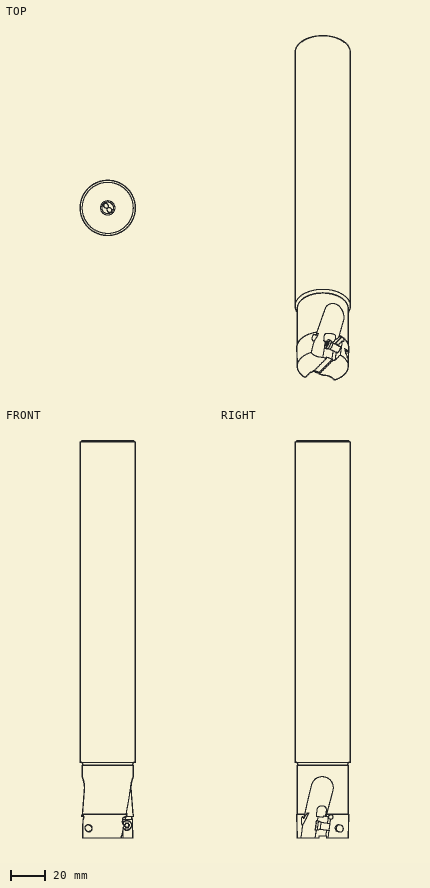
import cadquery as cq
import math


total_length = 227.51
shank_radius = 31.75 / 2
tooth_count = 2

shoulder_z = 43.4
neck_radius = 14.7
shoulder_fillet = 0.9
undercut_depth = 0.25
undercut_bottom_z = 41.5
undercut_slope_height = 0.5
head_top_z = 13.4
head_step_height = 0.3
head_top_radius = 15.0
head_bottom_radius = 14.65
back_chamfer_radial = 1.25
back_chamfer_height = 0.9

bore_diameter = 6.6
bore_mouth_diameter = 8.2
bore_bottom_z = 32.0
coolant_diameter = 2.5
coolant_outlet = cq.Vector(-9.3, 11.4, 10.0)
coolant_start = cq.Vector(0, 0, bore_bottom_z + coolant_diameter)

flute_radius = 6.4
flute_top = cq.Vector(-14.3, 0.3, 28.8)
flute_lean = 15.0
flute_deepening = 3.5

seat_tilt = 7.5
seat_y = -3.0
seat_inner_x = -7.2
seat_corner_chamfer = 1.4
seat_height = 12.2
seat_thickness = 9.0
relief_radius = 3.5
relief_x = -10.0
relief_depth = 6.4
relief_bottom = 11.5
relief_tip_height = 15.2
corner_relief_radius = 1.3
outside = 20.0

gash_width = 4.1
gash_depth = 1.2

screw_x = -11.0
head_face_y = 4.0
head_face_z = 7.4
screw_length = 12.0
thread_diameter = 4.0
screw_head_diameter = 5.4
screw_head_rim = 1.2
screw_head_cone = 1.6
head_clearance = 0.4
socket_core_diameter = 2.2
socket_lobe_diameter = 0.8
socket_depth = 1.4
lobe_count = 6

tilt = math.radians(seat_tilt)
screw_out = cq.Vector(0, math.cos(tilt), math.sin(tilt))
head_face = cq.Vector(screw_x, head_face_y, head_face_z)


def rod(start, direction, length, radius):
    return cq.Solid.makeCylinder(radius, length, start, direction)


def at_each_tooth(solid):
    step = 360 / tooth_count
    return [solid.rotate(cq.Vector(0, 0, 0), cq.Vector(0, 0, 1), i * step) for i in range(tooth_count)]


def turned_blank():
    chamfer_start = total_length - back_chamfer_height
    root_radius = neck_radius - undercut_depth
    fillet_mid = shoulder_fillet * (1 - math.sqrt(0.5))
    return (
        cq.Workplane("XZ")
        .lineTo(head_bottom_radius, 0)
        .lineTo(head_top_radius, head_top_z)
        .lineTo(neck_radius, head_top_z + head_step_height)
        .lineTo(neck_radius, undercut_bottom_z)
        .lineTo(root_radius, undercut_bottom_z + undercut_slope_height)
        .lineTo(root_radius, shoulder_z - shoulder_fillet)
        .threePointArc(
            (root_radius + fillet_mid, shoulder_z - fillet_mid),
            (root_radius + shoulder_fillet, shoulder_z),
        )
        .lineTo(shank_radius, shoulder_z)
        .lineTo(shank_radius, chamfer_start)
        .lineTo(shank_radius - back_chamfer_radial, total_length)
        .lineTo(0, total_length)
        .close()
        .revolve(360, (0, 0, 0), (0, 1, 0))
    )


def coolant_bore():
    mouth_depth = (bore_mouth_diameter - bore_diameter) / 2
    return (
        cq.Workplane("XZ")
        .moveTo(0, bore_bottom_z)
        .lineTo(bore_diameter / 2, bore_bottom_z)
        .lineTo(bore_diameter / 2, total_length - mouth_depth)
        .lineTo(bore_mouth_diameter / 2, total_length)
        .lineTo(0, total_length)
        .close()
        .revolve(360, (0, 0, 0), (0, 1, 0))
    )


def coolant_branch():
    path = coolant_outlet - coolant_start
    return rod(coolant_start, path, path.Length + coolant_diameter, coolant_diameter / 2)


def flute_cutter():
    down = cq.Vector(math.tan(math.radians(flute_deepening)), math.tan(math.radians(flute_lean)), -1)
    length = flute_top.z + outside
    ball = cq.Solid.makeSphere(flute_radius, flute_top, cq.Vector(0, 0, 1), -90, 90, 360)
    return rod(flute_top, down, length, flute_radius).fuse(ball)


def seat_cutter():
    pocket = (
        cq.Workplane("XY", origin=(0, 0, -outside))
        .moveTo(seat_inner_x - outside, 0)
        .lineTo(seat_inner_x - seat_corner_chamfer, 0)
        .lineTo(seat_inner_x, seat_corner_chamfer)
        .lineTo(seat_inner_x, seat_thickness)
        .lineTo(seat_inner_x - outside, seat_thickness)
        .close()
        .extrude(outside + seat_height)
        .val()
    )
    relief_base = cq.Vector(relief_x, relief_depth, relief_bottom)
    relief_tip = cq.Vector(relief_x, relief_depth, relief_tip_height)
    relief_length = relief_tip_height - relief_bottom
    relief = rod(relief_base, cq.Vector(0, 0, 1), relief_length, relief_radius)
    relief_ball = cq.Solid.makeSphere(relief_radius, relief_tip, cq.Vector(0, 0, 1), 0, 90, 360)
    corner = rod(
        cq.Vector(seat_inner_x - outside, 0, seat_height), cq.Vector(1, 0, 0), outside, corner_relief_radius
    )
    cutter = pocket.fuse(relief, relief_ball, corner)
    tilted = cutter.rotate(cq.Vector(0, 0, 0), cq.Vector(1, 0, 0), seat_tilt)
    return tilted.translate(cq.Vector(0, seat_y, 0))


def screw_hole():
    thread_hole = rod(head_face, screw_out * -1, screw_length + outside, thread_diameter / 2)
    head_length = screw_head_rim + screw_head_cone
    head_hole = rod(
        head_face - screw_out * head_length, screw_out, head_length, screw_head_diameter / 2 + head_clearance
    )
    return thread_hole.fuse(head_hole)


def end_gash():
    return cq.Workplane("XY").box(2 * outside, gash_width, gash_depth, centered=(True, True, False))


def build_holder():
    holder = turned_blank().cut(coolant_bore()).cut(end_gash())
    for cutter in (coolant_branch(), flute_cutter(), seat_cutter(), screw_hole()):
        for copy in at_each_tooth(cutter):
            holder = holder.cut(cq.Workplane(copy))
    return holder


def build_screw():
    frame = cq.Plane(origin=head_face.toTuple(), xDir=(1, 0, 0), normal=screw_out.toTuple())
    head_radius = screw_head_diameter / 2
    thread_radius = thread_diameter / 2
    side = cq.Plane(origin=frame.origin, xDir=frame.xDir, normal=frame.yDir * -1)
    body = (
        cq.Workplane(side)
        .lineTo(head_radius, 0)
        .lineTo(head_radius, -screw_head_rim)
        .lineTo(thread_radius, -screw_head_rim - screw_head_cone)
        .lineTo(thread_radius, -screw_length)
        .lineTo(0, -screw_length)
        .close()
        .revolve(360, (0, 0, 0), (0, 1, 0))
    )
    core = cq.Workplane(frame).circle(socket_core_diameter / 2).extrude(-socket_depth)
    lobes = (
        cq.Workplane(frame)
        .polarArray(socket_core_diameter / 2, 0, 360, lobe_count)
        .circle(socket_lobe_diameter / 2)
        .extrude(-socket_depth)
    )
    return body.cut(core).cut(lobes)


holder = build_holder()
screws = at_each_tooth(build_screw().val())
result = cq.Compound.makeCompound([holder.val(), *screws])